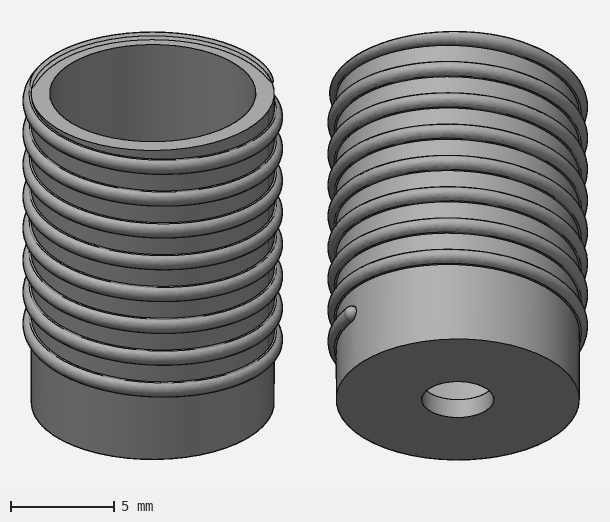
import cadquery as cq
import math

cup_height = 17.0
cup_diameter = 11.8
bore_diameter = 10.0
floor_thickness = 1.0
floor_hole_diameter = 3.5

wire_diameter = 0.8
wire_pitch = 1.75
wire_start_height = 3.1
wire_start_angle = 90.0
wire_turns = 8.5

cup_radius = cup_diameter / 2
wire_radius = wire_diameter / 2
outer_arc_half_angle = math.radians(76)
coil_rise = wire_pitch * wire_turns
joint_x = cup_radius + wire_radius * math.cos(outer_arc_half_angle)
joint_z = wire_radius * math.sin(outer_arc_half_angle)
envelope_radius = cup_radius + wire_diameter


def make_plain_cup():
    """Round cup with a flat floor and a central hole, without the helical groove."""
    return (
        cq.Workplane("XY")
        .circle(cup_radius)
        .extrude(cup_height)
        .faces(">Z")
        .workplane()
        .hole(bore_diameter, cup_height - floor_thickness)
        .faces("<Z")
        .workplane()
        .hole(floor_hole_diameter)
    )


def make_envelope(inner_radius=0):
    """Disc or ring, from the cup's base to its rim, that reaches out beyond the coil."""
    envelope = cq.Workplane("XY").circle(envelope_radius)
    if inner_radius > 0:
        envelope = envelope.circle(inner_radius)
    return envelope.extrude(cup_height)


def make_coil():
    """Left-handed round coil with a hemispherical lower end, trimmed flush with the rim."""
    helix = cq.Wire.makeHelix(wire_pitch, coil_rise, cup_radius, lefthand=True)
    winding = (
        cq.Workplane("XZ")
        .moveTo(joint_x, joint_z)
        .threePointArc((cup_radius - wire_radius, 0), (joint_x, -joint_z))
        .threePointArc((cup_radius + wire_radius, 0), (joint_x, joint_z))
        .close()
        .sweep(cq.Workplane(obj=helix), isFrenet=True)
    )
    rounded_end = cq.Workplane("XY").sphere(wire_radius, direct=(1, 0, 0)).translate((cup_radius, 0, 0))
    untrimmed_coil = (
        winding.union(rounded_end)
        .rotate((0, 0, 0), (0, 0, 1), wire_start_angle)
        .translate((0, 0, wire_start_height))
    )
    return untrimmed_coil.intersect(make_envelope())


plain_cup = make_plain_cup()
coil = make_coil()

cup = plain_cup.cut(coil)

groove_fill = coil.intersect(plain_cup)

ridge = coil.intersect(make_envelope(cup_radius))

result = cq.Compound.makeCompound([cup.val(), groove_fill.val(), ridge.val()])